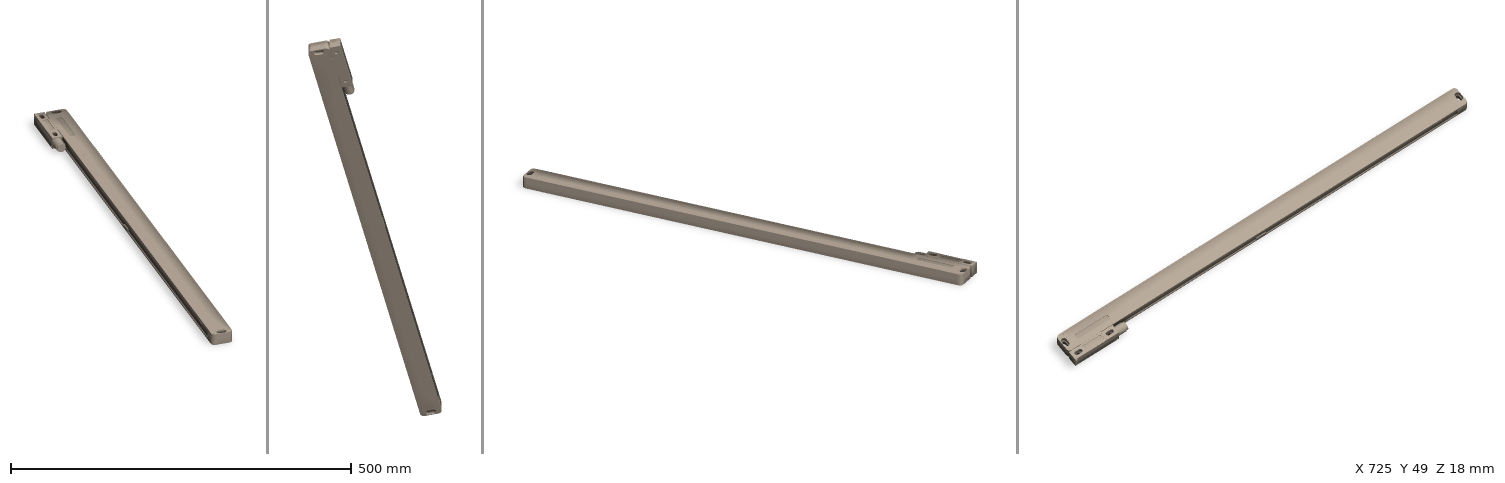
import cadquery as cq

length = 725.0
total_width = 49.0
height = 18.0
housing_front = 17.0
housing_width = total_width - housing_front
housing_mid_y = housing_front + housing_width / 2

ear_length = 11.5
ear_step = 0.2
ear_corner_radius = 6.0
ear_hole_inset = 5.45
ear_slot_straight = 6.5
ear_slot_width = 5.0
ear_counterbore_width = 9.0
ear_counterbore_depth = 6.5

channel_end_inset = 19.5
channel_lip = 2.0
channel_depth = 2.0
tab_length = 17.5
tab_drop = 3.5
upper_tab_x = 669.0
lower_tab_x = 349.5

label_start = 24.0
label_length = 59.0
label_width = 9.0
label_corner_radius = 1.5
label_depth = 1.0
label_mid_y = 30.5

head_length = 79.0
head_gap = 1.0
head_depth = housing_front - head_gap
recess_start = 22.5
recess_end = 57.0
recess_depth = 0.2
trough_length = 32.0
trough_width = 9.0
trough_depth = 1.0
trough_mid_y = 9.0

head_hole_positions = (11.5, 68.0)
head_hole_mid_y = 8.0
head_hole_diameter = 5.0
head_counterbore_straight = 6.5
head_counterbore_width = 6.5
head_counterbore_depth = 6.5

corner_hole_diameter = 4.0
corner_hole_inset = 3.0
corner_hole_depth = 7.0

outlet_mid_y = 8.0
outlet_diameter = 15.0
outlet_length = 14.5
collar_diameter = 13.0
collar_length = 3.5


def block(x, y, z, size_x, size_y, size_z):
    """Box with its lowest corner at (x, y, z)."""
    return cq.Workplane("XY").box(size_x, size_y, size_z, centered=False).translate((x, y, z))


def slot(x, y, z, straight, width, depth, angle):
    """Round-ended prism rising from z; straight is the distance between its end centres."""
    outline = cq.Workplane("XY", origin=(x, y, z)).slot2D(straight + width, width, angle)
    return outline.extrude(depth)


def ear_hole(x):
    """Through slot along Y with a counterbore from above and one from below."""
    hole = slot(x, housing_mid_y, 0, ear_slot_straight, ear_slot_width, height, 90)
    for z in (0, height - ear_counterbore_depth):
        counterbore = slot(
            x, housing_mid_y, z, ear_slot_straight, ear_counterbore_width, ear_counterbore_depth, 90
        )
        hole = hole.union(counterbore)
    return hole


def front_channel():
    """Long channel in the front face, less the tabs left standing on its lips."""
    channel_height = height - 2 * channel_lip
    channel = block(
        channel_end_inset, housing_front, channel_lip,
        length - 2 * channel_end_inset, channel_depth, channel_height,
    )
    upper_tab_z = height - channel_lip - tab_drop
    for x, z in ((upper_tab_x, upper_tab_z), (lower_tab_x, channel_lip)):
        tab = block(x - tab_length / 2, housing_front, z, tab_length, channel_depth, tab_drop)
        channel = channel.cut(tab)
    return channel


def label_recess():
    recess = block(
        label_start, label_mid_y - label_width / 2, height - label_depth,
        label_length, label_width, label_depth,
    )
    return recess.edges("|Z").fillet(label_corner_radius)


def make_housing():
    body = block(0, housing_front, 0, length, housing_width, height)
    body = body.edges("|Z").fillet(ear_corner_radius)
    for x in (0, length - ear_length):
        body = body.cut(
            block(x, housing_front, height - ear_step, ear_length, housing_width, ear_step)
        )
    for x in (ear_hole_inset, length - ear_hole_inset):
        body = body.cut(ear_hole(x))
    return body.cut(front_channel()).cut(label_recess())


def head_hole(x):
    """Round through hole below a slotted counterbore along X."""
    plane = cq.Workplane("XY", origin=(x, head_hole_mid_y, 0))
    hole = plane.circle(head_hole_diameter / 2).extrude(height)
    counterbore = slot(
        x, head_hole_mid_y, height - head_counterbore_depth,
        head_counterbore_straight, head_counterbore_width, head_counterbore_depth, 0,
    )
    return hole.union(counterbore)


def corner_hole(x, z):
    """Blind hole going into the front face."""
    plane = cq.Workplane("XZ", origin=(x, 0, z))
    return plane.circle(corner_hole_diameter / 2).extrude(-corner_hole_depth)


def cable_outlet():
    """Stepped cylinder on the +X end of the head."""
    plane = cq.Workplane("YZ", origin=(head_length, outlet_mid_y, height / 2))
    outlet = plane.circle(outlet_diameter / 2).extrude(outlet_length)
    collar = plane.circle(collar_diameter / 2).extrude(outlet_length + collar_length)
    return outlet.union(collar)


def make_head():
    recess_length = recess_end - recess_start
    recess_floor = height - recess_depth
    body = block(0, 0, 0, head_length, head_depth, height)

    body = body.union(block(recess_start, 0, 0, recess_length, housing_front, recess_floor))
    body = body.cut(block(
        recess_start, 0, recess_floor, recess_length, housing_front, recess_depth
    ))

    body = body.cut(block(
        recess_start, trough_mid_y - trough_width / 2, recess_floor - trough_depth,
        trough_length, trough_width, trough_depth,
    ))

    for x in head_hole_positions:
        body = body.cut(head_hole(x))

    upper_left = (corner_hole_inset, height - corner_hole_inset)
    lower_right = (head_length - corner_hole_inset, corner_hole_inset)
    for x, z in (upper_left, lower_right):
        body = body.cut(corner_hole(x, z))
    return body.union(cable_outlet())


housing = make_housing()
head = make_head()

result = cq.Compound.makeCompound([housing.val(), head.val()])